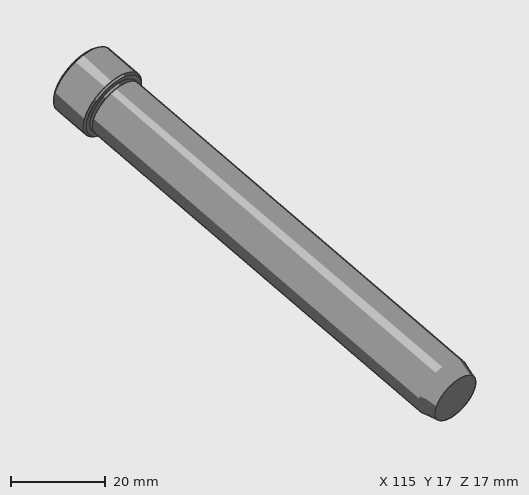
import cadquery as cq

overall_length = 115.0
head_radius = 17.0 / 2
head_length = 10.0
head_chamfer = 0.5
shank_radius = 14.0 / 2

undercut_width = 0.8
undercut_depth = 0.9

tip_length = 4.0
tip_drop = 1.0

undercut_end = head_length + undercut_width
tip_start = overall_length - tip_length
tip_radius = shank_radius - tip_drop

profile = (
    cq.Workplane("XY")
    .moveTo(0, 0)
    .lineTo(0, head_radius - head_chamfer)
    .lineTo(head_chamfer, head_radius)
    .lineTo(head_length - head_chamfer, head_radius)
    .lineTo(head_length, head_radius - head_chamfer)
    .lineTo(head_length, shank_radius)
    .lineTo(undercut_end, shank_radius - undercut_depth)
    .lineTo(undercut_end, shank_radius)
    .lineTo(tip_start, shank_radius)
    .lineTo(overall_length, tip_radius)
    .lineTo(overall_length, 0)
    .close()
)

result = profile.revolve(360, (0, 0, 0), (1, 0, 0))